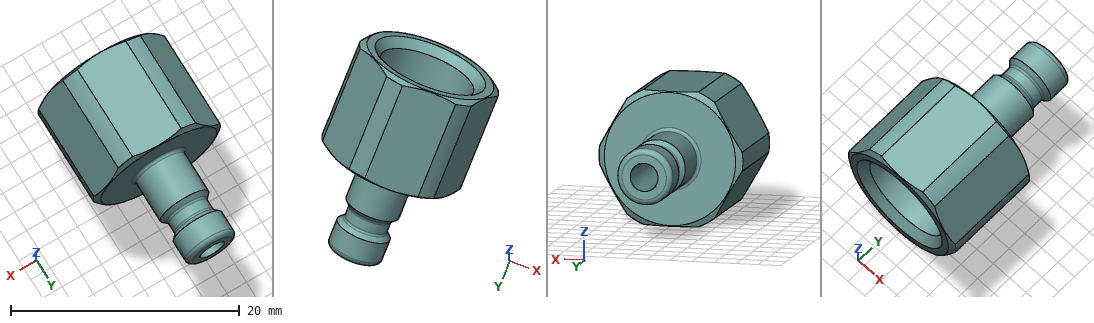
import cadquery as cq
import math

length = 19.0
hex_flats = 12.0
hex_corner_diameter = 13.0
hex_length = 10.0
hex_face_diameter = 11.85
hex_chamfer_angle = 30.0

bore_diameter = 8.74
bore_mouth_diameter = 10.34
bore_depth = 7.6
passage_diameter = 2.5

plug_diameter = 5.0
plug_tip_fillet = 0.5
plug_root_fillet = 0.3
neck_diameter = 3.99
neck_fillet = 0.3
groove_start = 14.33
groove_end = 16.53
groove_wall_angle = 45.0


def cylinder(diameter, start, end):
    """Round bar along Y from start to end."""
    return cq.Workplane("XZ", origin=(0, start, 0)).circle(diameter / 2).extrude(start - end)


def revolve_about_y(points):
    """Revolve a closed (radius, y) outline about the Y axis."""
    return cq.Workplane("XY").polyline(points).close().revolve(360, (0, 0, 0), (0, 1, 0))


def make_hex():
    """Hexagon with turned corners and a conical chamfer at both ends."""
    corner_to_corner = hex_flats / math.cos(math.radians(30))
    prism = cq.Workplane("XZ").polygon(6, corner_to_corner).extrude(-hex_length)
    corner_radius = hex_corner_diameter / 2
    face_radius = hex_face_diameter / 2
    chamfer_depth = (corner_radius - face_radius) * math.tan(math.radians(hex_chamfer_angle))
    envelope = revolve_about_y([
        (0, 0),
        (face_radius, 0),
        (corner_radius, chamfer_depth),
        (corner_radius, hex_length - chamfer_depth),
        (face_radius, hex_length),
        (0, hex_length),
    ])
    return prism.intersect(envelope)


def make_plug():
    """Turned plug with a rounded tip and a retaining groove."""
    plug_radius = plug_diameter / 2
    neck_radius = neck_diameter / 2
    plug = cylinder(plug_diameter, hex_length, length).faces(">Y").edges().fillet(plug_tip_fillet)
    wall_length = (plug_radius - neck_radius) / math.tan(math.radians(groove_wall_angle))
    neck_start = groove_start + wall_length
    neck_end = groove_end - wall_length
    groove = revolve_about_y([
        (plug_radius, groove_start),
        (neck_radius, neck_start),
        (neck_radius, neck_end),
        (plug_radius, groove_end),
    ])
    neck_edges = cq.selectors.BoxSelector(
        (-plug_radius, neck_start - neck_fillet / 2, -plug_radius),
        (plug_radius, neck_end + neck_fillet / 2, plug_radius),
    )
    return plug.cut(groove).edges("%CIRCLE").edges(neck_edges).fillet(neck_fillet)


def make_root_flare():
    """Concave fillet ring where the plug meets the hexagon."""
    radius = plug_diameter / 2
    centre_radius = radius + plug_root_fillet
    centre_y = hex_length + plug_root_fillet
    arc_offset = plug_root_fillet * math.sqrt(0.5)
    return (
        cq.Workplane("XY")
        .moveTo(0, hex_length)
        .lineTo(centre_radius, hex_length)
        .threePointArc((centre_radius - arc_offset, centre_y - arc_offset), (radius, centre_y))
        .lineTo(0, centre_y)
        .close()
        .revolve(360, (0, 0, 0), (0, 1, 0))
    )


def make_bore():
    """Flat-bottomed socket with a 45 degree countersunk mouth."""
    bore_radius = bore_diameter / 2
    mouth_radius = bore_mouth_diameter / 2
    return revolve_about_y([
        (0, 0),
        (mouth_radius, 0),
        (bore_radius, mouth_radius - bore_radius),
        (bore_radius, bore_depth),
        (0, bore_depth),
    ])


body = make_hex().union(make_plug()).union(make_root_flare())
result = body.cut(make_bore()).cut(cylinder(passage_diameter, 0, length))